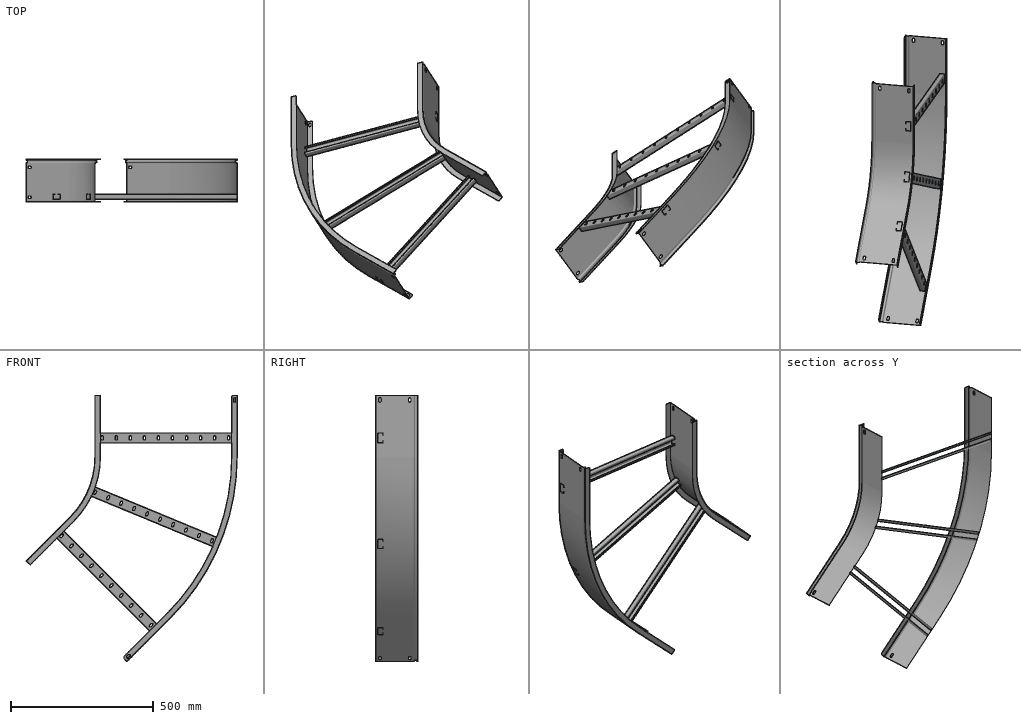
import cadquery as cq
import math


bend_angle = 45.0
outer_radius = 800.0
tray_width = 500.85
inner_radius = outer_radius - tray_width
straight_length = 217.0

rail_depth = 150.0
flange_width = 20.0
sheet = 1.2
rail_bottom = -rail_depth / 2
rail_top = rail_depth / 2

bead_height = 6.0
bead_base = 10.0
bead_crest = 4.0
bead_center = 66.0
bead_bend = 1.5

end_slot_length = 15.0
end_slot_width = 8.0
end_slot_inset = 16.5
web_slot_places = (46.0, -59.0)
corner_chamfer = 4.0

rung_height = 36.0
rung_depth = 19.0
rung_lip = 9.0
rung_base = -67.0
rung_bend = 3.0
rung_end_distance = 150.0
rung_offset = straight_length - rung_end_distance
rung_length = tray_width - sheet

rung_slot_count = 10
rung_slot_pitch = 49.4
rung_slot_first = 26.0
rung_slot_length = 14.0
rung_slot_width = 7.0


def swing(body, angle):
    """Turn a body about the bend axis, from the upright end toward the sloping end."""
    return body.rotate((0, 0, 0), (0, 1, 0), angle)


def rail_section(web_x, inward):
    """Section of a rail at the start of the bend; inward is +1 or -1 along X."""
    base_half = bead_base / 2
    crest_half = bead_crest / 2
    slope = math.atan2(bead_height, base_half - crest_half)
    shift = sheet * math.tan(slope / 2)
    outline = [
        (flange_width, rail_bottom),
        (0, rail_bottom),
        (0, bead_center - base_half),
        (bead_height, bead_center - crest_half),
        (bead_height, bead_center + crest_half),
        (0, bead_center + base_half),
        (0, rail_top),
        (flange_width, rail_top),
        (flange_width, rail_top - sheet),
        (sheet, rail_top - sheet),
        (sheet, bead_center + base_half + shift),
        (bead_height + sheet, bead_center + crest_half + shift),
        (bead_height + sheet, bead_center - crest_half - shift),
        (sheet, bead_center - base_half - shift),
        (sheet, rail_bottom + sheet),
        (flange_width, rail_bottom + sheet),
    ]
    points = [(web_x + inward * depth, y) for depth, y in outline]
    points.append(points[0])
    bead_zone = cq.selectors.BoxSelector(
        (web_x - flange_width, bead_center - bead_base, -sheet),
        (web_x + flange_width, bead_center + base_half + sheet, sheet),
    )
    section = cq.Sketch().polygon(points).vertices(bead_zone).fillet(bead_bend)
    return cq.Workplane("XY").placeSketch(section)


def web_slots(web_x):
    """Cutters for the two slots through the web at the upright end."""
    return (
        cq.Workplane("YZ", origin=(web_x, 0, straight_length - end_slot_inset))
        .pushPoints([(y, 0) for y in web_slot_places])
        .slot2D(end_slot_length, end_slot_width, 90)
        .extrude(2 * sheet, both=True)
    )


def flange_slot(web_x, inward):
    """Cutter for the slot through the -Y flange at the upright end."""
    center = (web_x + inward * flange_width / 2, rail_bottom, straight_length - end_slot_inset)
    return (
        cq.Workplane("XZ", origin=center)
        .slot2D(end_slot_length, end_slot_width, 90)
        .extrude(2 * sheet, both=True)
    )


def flange_corners(web_x, inward):
    """Cutter that bevels the free corners of both flanges at the upright end."""
    tip_x = web_x + inward * flange_width
    corner = [
        (tip_x, straight_length),
        (tip_x - inward * corner_chamfer, straight_length),
        (tip_x, straight_length - corner_chamfer),
    ]
    return cq.Workplane("XZ").polyline(corner).close().extrude(rail_depth, both=True)


def at_both_ends(cutter):
    """The cutter at the upright end and its mirror image at the sloping end."""
    return [cutter, swing(cutter.mirror("XY"), bend_angle)]


def make_rail(web_x, inward):
    """Bent channel with its outer web face at radius web_x."""
    upright = rail_section(web_x, inward).extrude(straight_length)
    bend = rail_section(web_x, inward).revolve(bend_angle, (0, 0, 0), (0, 1, 0))
    sloping = swing(rail_section(web_x, inward).extrude(-straight_length), bend_angle)
    rail = upright.union(bend).union(sloping)
    for cutter in at_both_ends(web_slots(web_x)):
        rail = rail.cut(cutter)
    return rail


def make_outer_rail():
    """Outer rail, with a slot in the -Y flange and bevelled flange corners at each end."""
    rail = make_rail(outer_radius, -1)
    end_cuts = at_both_ends(flange_slot(outer_radius, -1)) + at_both_ends(flange_corners(outer_radius, -1))
    for cutter in end_cuts:
        rail = rail.cut(cutter)
    return rail


def make_rung():
    """Lipped channel with a row of slots in its base.

    It reaches from the outer face of the inner rail's web to the inner face of the outer rail's web.
    """
    start = cq.Workplane("YZ", origin=(inner_radius, 0, 0))
    middle = rung_base + rung_depth / 2
    channel = (
        start.center(middle, 0)
        .rect(rung_depth, rung_height)
        .extrude(rung_length)
        .edges("|X")
        .fillet(rung_bend)
    )
    hollow = (
        start.center(middle, 0)
        .rect(rung_depth - 2 * sheet, rung_height - 2 * sheet)
        .extrude(rung_length)
        .edges("|X")
        .fillet(rung_bend - sheet)
    )
    mouth = (
        start.center(rung_base + rung_depth, 0)
        .rect(rung_depth, rung_height - 2 * rung_lip)
        .extrude(rung_length)
    )
    slots = (
        cq.Workplane("XZ", origin=(inner_radius, rung_base, 0))
        .pushPoints([(rung_slot_first + i * rung_slot_pitch, 0) for i in range(rung_slot_count)])
        .slot2D(rung_slot_length, rung_slot_width, 90)
        .extrude(2 * sheet, both=True)
    )
    return channel.cut(hollow).cut(mouth).cut(slots)


bend_disc = cq.Workplane("XZ").circle(outer_radius - sheet).extrude(rail_depth / 2, both=True)
upright_rung = make_rung().translate((0, 0, rung_offset))
middle_rung = swing(make_rung().intersect(bend_disc), bend_angle / 2)
sloping_rung = swing(make_rung().translate((0, 0, -rung_offset)), bend_angle)
rungs = [upright_rung, middle_rung, sloping_rung]

inner_rail = make_rail(inner_radius, 1)
for rung in rungs:
    inner_rail = inner_rail.cut(rung)
outer_rail = make_outer_rail()

result = cq.Compound.makeCompound(
    [inner_rail.val(), outer_rail.val(), *[rung.val() for rung in rungs]]
)